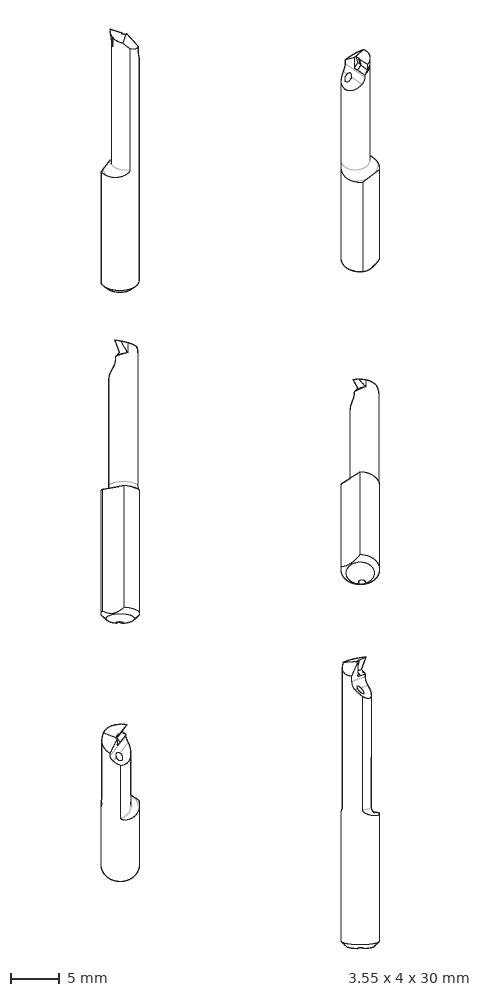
import cadquery as cq
import math

total_length = 30.0
shank_diameter = 4.0
shank_radius = shank_diameter / 2
width_over_flat = 3.55
flat_x = shank_radius - width_over_flat
shank_length = 13.8
end_chamfer = 0.55

neck_radius = 1.5
neck_x = 0.7
flare_radius = 0.8

hole_diameter = 0.7
hole_x = 1.08
hole_y = 0.65

face_y = 0.15
ramp_end_y = 1.5
ramp_end_z = 26.13
ramp_corner_z = ramp_end_z + (ramp_end_y - face_y)
ramp_radius = 1.2

tip_x = -1.1
tip_y = 0.05
tip = (tip_x, tip_y, total_length)
top_fall_x = 0.1
top_fall_y = 0.13
chamfer_start_x = 0.7
chamfer_start_z = 29.82
chamfer_end_z = 28.53

heel_top = (-0.9, -0.45, total_length)
heel_bottom = (-0.48, -0.85, 28.62)
clearance_end = (-0.375, -1.08, total_length)

floor_front_y = heel_bottom[1]
floor_front_z = heel_bottom[2]
floor_back_z = 28.35

groove_bottom_y = -0.27
groove_bottom_z = 28.7
groove_exit_z = 28.25
groove_end_x = 0.7
groove_step_x = 0.2
groove_step_depth = 0.1

clearance = 0.3

reach = 6.0


def outside(point, normal):
    """Block covering everything near the point on the side the normal faces."""
    plane = cq.Plane(origin=point, normal=normal)
    return cq.Workplane(plane).rect(2 * reach, 2 * reach).extrude(reach)


def along_x(points, start, end):
    """Prism with a YZ outline between two X positions."""
    plane = cq.Workplane("YZ", origin=(start, 0, 0))
    return plane.polyline(points).close().extrude(end - start)


def make_shank():
    shank = cq.Workplane("XY").circle(shank_radius).extrude(shank_length)
    return shank.faces("<Z").chamfer(end_chamfer)


def make_neck():
    """Flared neck, trimmed to the shank's round side."""
    flare_top_z = shank_length + flare_radius
    outer_radius = neck_radius + flare_radius
    middle = flare_radius * (1 - math.sqrt(0.5))
    neck = (
        cq.Workplane("XZ")
        .moveTo(0, shank_length - end_chamfer)
        .lineTo(outer_radius, shank_length - end_chamfer)
        .lineTo(outer_radius, shank_length)
        .threePointArc((neck_radius + middle, shank_length + middle), (neck_radius, flare_top_z))
        .lineTo(neck_radius, total_length)
        .lineTo(0, total_length)
        .close()
        .revolve(360, (0, 0, 0), (0, 1, 0))
        .translate((neck_x, 0, 0))
    )
    envelope = cq.Workplane("XY").circle(shank_radius).extrude(total_length)
    return neck.intersect(envelope)


def cut_chip_recess(body):
    recess = along_x(
        [
            (face_y, total_length + clearance),
            (face_y, ramp_corner_z),
            (face_y + reach, ramp_corner_z - reach),
            (face_y + reach, total_length + clearance),
        ],
        -reach,
        reach,
    )
    corner = cq.selectors.NearestToPointSelector((0, face_y, ramp_corner_z))
    return body.cut(recess.edges(corner).fillet(ramp_radius))


def shape_tooth(body):
    """Add the projecting tooth and grind its two clearance faces."""
    floor_slope = (floor_front_z - floor_back_z) / (face_y - floor_front_y)
    above_floor = along_x(
        [
            (face_y, floor_back_z),
            (-neck_radius, floor_back_z + floor_slope * (face_y + neck_radius)),
            (-neck_radius, total_length),
            (face_y, total_length),
        ],
        -neck_radius,
        neck_x,
    )
    tooth_stock = above_floor.cut(outside(clearance_end, (0, -1, 0)))
    along_top = cq.Vector(*heel_top) - cq.Vector(*tip)
    down_heel = cq.Vector(*heel_bottom) - cq.Vector(*tip)
    primary_normal = down_heel.cross(along_top)
    secondary_normal = (clearance_end[1] - heel_top[1], heel_top[0] - clearance_end[0], 0)
    primary = outside(tip, primary_normal)
    secondary = outside(heel_top, secondary_normal)
    removed = above_floor.intersect(primary.union(secondary))
    return body.union(tooth_stock).cut(removed)


def chip_groove(start_x, depth):
    """V groove from start_x to the groove end, with its V sunk by an extra depth."""
    return along_x(
        [
            (tip_y - depth, total_length),
            (groove_bottom_y - depth, groove_bottom_z),
            (face_y, groove_exit_z),
            (face_y, total_length),
        ],
        start_x,
        groove_end_x,
    )


def cut_chip_groove(body):
    """Cut the groove, which gets deeper in one step at its inner end."""
    return body.cut(chip_groove(-reach, 0)).cut(chip_groove(groove_step_x, groove_step_depth))


def cut_top_faces(body):
    body = body.cut(outside(tip, (top_fall_x, -top_fall_y, 1)))
    chamfer_fall = chamfer_start_z - chamfer_end_z
    chamfer_run = shank_radius - chamfer_start_x
    return body.cut(outside((chamfer_start_x, 0, chamfer_start_z), (chamfer_fall, 0, chamfer_run)))


def cut_coolant_hole(body):
    hole = cq.Workplane("XY").center(hole_x, hole_y).circle(hole_diameter / 2).extrude(total_length)
    return body.cut(hole)


def cut_shank_flat(body):
    flat = cq.Workplane("XY").box(reach, reach, total_length, centered=(True, True, False))
    return body.cut(flat.translate((flat_x - reach / 2, 0, 0)))


result = make_shank().union(make_neck())
result = cut_shank_flat(result)
result = cut_chip_recess(result)
result = shape_tooth(result)
result = cut_chip_groove(result)
result = cut_top_faces(result)
result = cut_coolant_hole(result)